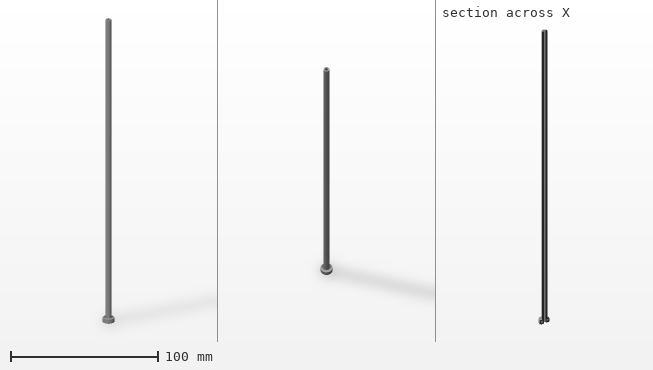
import cadquery as cq

total_length = 225.0
head_diameter = 8.0
head_height = 3.0
shaft_diameter = 4.0
bore_diameter = 2.0
neck_fillet_radius = 0.3

head_radius = head_diameter / 2
shaft_radius = shaft_diameter / 2
bore_radius = bore_diameter / 2


def sleeve_half_section():
    """Wall of the sleeve in the XZ plane, on the -X side, from the bore outwards."""
    return (
        cq.Workplane("XZ")
        .moveTo(-bore_radius, 0)
        .lineTo(-head_radius, 0)
        .lineTo(-head_radius, head_height)
        .lineTo(-shaft_radius - neck_fillet_radius, head_height)
        .tangentArcPoint((-shaft_radius, head_height + neck_fillet_radius), relative=False)
        .lineTo(-shaft_radius, total_length)
        .lineTo(-bore_radius, total_length)
        .close()
    )


result = sleeve_half_section().revolve(360, (0, 0, 0), (0, 1, 0))